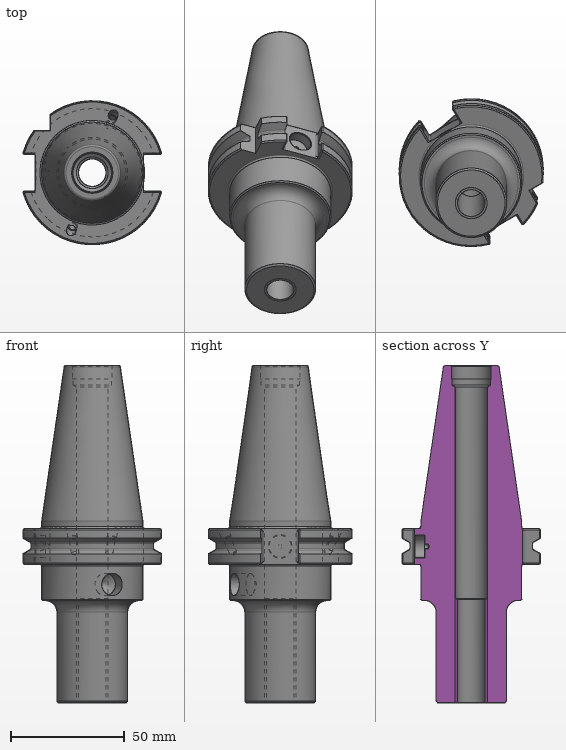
import cadquery as cq
import math

total_height = 148.2
gauge_z = 79.9
flange_top_z = 76.6
flange_bottom_z = 60.8
flange_height = flange_top_z - flange_bottom_z
flange_mid_z = flange_bottom_z + flange_height / 2
collar_bottom_z = 44.9

gauge_radius = 22.2
taper_half_slope = 7 / 48
taper_end_radius = gauge_radius - (total_height - gauge_z) * taper_half_slope
taper_end_round = 0.9
collar_radius = gauge_radius
collar_chamfer = 0.6
flange_root_fillet = 0.7
nose_radius = 15.5
nose_fillet = 5.0
nose_chamfer = 0.7

flange_radius = 63.3 / 2
flange_chamfer = 0.6
groove_z = 69.0
groove_floor_radius = 28.2
groove_floor_half_width = 1.5
groove_flank_angle = 30.0
groove_floor_fillet = 0.7

slot_width = 16.2
slot_corner_fillet = 0.7
slot_floor_minus_x = 25.0
slot_floor_plus_x = 22.5
notch_x = 18.5
notch_y = 18.5

chip_hole_radius = 4.9
chip_hole_chamfer = 0.3
chip_hole_depth = 4.6
chip_pilot_radius = 0.9
chip_pilot_depth = 1.5

drill_point_angle = 118.0
drill_point_slope = math.tan(math.radians(drill_point_angle / 2))
screw_hole_radius = 4.9
screw_hole_z = 52.0
screw_hole_azimuth = -66.5
screw_hole_depth = 8.0
coolant_hole_mouth_radius = 2.1
coolant_hole_mouth_depth = 4.5
coolant_hole_radius = 1.6
coolant_hole_depth = 11.9
coolant_hole_pitch_radius = 27.0
coolant_hole_azimuths = (70.0, 250.0)
coolant_hole_tilt = 25.0

bore_mouth_radius = 9.0
counterbore_radius = 8.6
counterbore_depth = 6.0
thread_radius = 8.5
thread_depth = 8.6
through_radius = 7.0

sleeve_length = 46.0
sleeve_bore_radius = 12.0 / 2


def turned_outside():
    """Taper, collar and nose as one turned shape, without the flange rim."""
    fillet_outer = collar_radius + flange_root_fillet
    mid_fillet = 1 - math.sqrt(0.5)
    nose_fillet_mid = nose_fillet * mid_fillet
    root_fillet_mid = flange_root_fillet * mid_fillet
    profile = (
        cq.Workplane("XZ")
        .lineTo(nose_radius - nose_chamfer, 0)
        .lineTo(nose_radius, nose_chamfer)
        .lineTo(nose_radius, collar_bottom_z - nose_fillet)
        .threePointArc(
            (nose_radius + nose_fillet_mid, collar_bottom_z - nose_fillet_mid),
            (nose_radius + nose_fillet, collar_bottom_z),
        )
        .lineTo(collar_radius - collar_chamfer, collar_bottom_z)
        .lineTo(collar_radius, collar_bottom_z + collar_chamfer)
        .lineTo(collar_radius, flange_bottom_z - flange_root_fillet)
        .threePointArc(
            (collar_radius + root_fillet_mid, flange_bottom_z - root_fillet_mid),
            (fillet_outer, flange_bottom_z),
        )
        .lineTo(fillet_outer, flange_top_z)
        .threePointArc(
            (collar_radius + root_fillet_mid, flange_top_z + root_fillet_mid),
            (collar_radius, flange_top_z + flange_root_fillet),
        )
        .lineTo(gauge_radius, gauge_z)
        .lineTo(taper_end_radius, total_height)
        .lineTo(0, total_height)
        .close()
    )
    return profile.revolve(360, (0, 0), (0, 1)).faces(">Z").edges().fillet(taper_end_round)


def drive_slot(side, floor_x):
    """Cutter for one drive slot; side is +1 for the +X slot and -1 for the -X slot."""
    length = 2 * flange_radius
    centre = (side * (floor_x + length / 2), 0, flange_mid_z)
    return cq.Workplane("XY", origin=centre).box(length, slot_width, flange_height)


def orientation_notch():
    """Cutter for the square notch at the -X, +Y corner of the flange."""
    return (
        cq.Workplane("XY", origin=(-notch_x, notch_y, flange_bottom_z))
        .rect(-flange_radius, flange_radius, centered=False)
        .extrude(flange_height)
    )


def gripper_groove():
    """Ring cutter for the V-shaped groove round the flange, with rounded floor corners."""
    groove_depth = flange_radius - groove_floor_radius
    mouth_half_width = groove_floor_half_width + groove_depth * math.tan(math.radians(groove_flank_angle))
    ring = (
        cq.Workplane("XZ")
        .moveTo(groove_floor_radius, groove_z - groove_floor_half_width)
        .lineTo(flange_radius, groove_z - mouth_half_width)
        .lineTo(flange_radius, groove_z + mouth_half_width)
        .lineTo(groove_floor_radius, groove_z + groove_floor_half_width)
        .close()
        .revolve(360, (0, 0), (0, 1))
    )
    floor_corners = cq.selectors.RadiusNthSelector(0)
    return ring.edges(floor_corners).fillet(groove_floor_fillet)


def is_bevelled(edge):
    """True for the rim circles, the slot wall edges and the corners where the slots open."""
    middle = edge.positionAt(0.5)
    on_rim = math.hypot(middle.x, middle.y) > flange_radius - slot_corner_fillet
    on_slot_wall_end = abs(middle.z - flange_mid_z) > flange_height / 4 and abs(middle.y) > slot_width / 4
    return on_rim or on_slot_wall_end


def flange():
    """Flange rim with its drive slots, chamfers, groove and notch."""
    disc = (
        cq.Workplane("XY", origin=(0, 0, flange_bottom_z))
        .circle(flange_radius)
        .extrude(flange_height)
        .cut(drive_slot(-1, slot_floor_minus_x))
        .cut(drive_slot(1, slot_floor_plus_x))
    )
    disc = disc.newObject([edge for edge in disc.edges().vals() if is_bevelled(edge)]).chamfer(flange_chamfer)
    slot_floor_corners = cq.selectors.BoxSelector(
        (-slot_floor_minus_x - slot_corner_fillet, -slot_width, flange_bottom_z),
        (slot_floor_plus_x + slot_corner_fillet, slot_width, flange_top_z),
    )
    disc = disc.edges("|Z").edges(slot_floor_corners).fillet(slot_corner_fillet)
    return disc.cut(gripper_groove()).cut(orientation_notch())


def drilled_hole(point, direction, radius, depth, flat=False):
    """Cutter for a blind hole with a drill point or a flat end; depth is that of the full diameter."""
    run_in = 2 * radius
    top = point - direction * run_in
    hole = cq.Solid.makeCylinder(radius, run_in + depth, top, direction)
    if not flat:
        point_length = radius / drill_point_slope
        drill_point = cq.Solid.makeCone(radius, 0, point_length, point + direction * depth, direction)
        hole = hole.fuse(drill_point)
    return cq.Workplane(hole)


def screw_hole():
    """Cutter for the radial blind hole in the collar."""
    azimuth = math.radians(screw_hole_azimuth)
    outward = cq.Vector(math.cos(azimuth), math.sin(azimuth), 0)
    start = outward * collar_radius + cq.Vector(0, 0, screw_hole_z)
    return drilled_hole(start, -outward, screw_hole_radius, screw_hole_depth)


def coolant_hole(azimuth_degrees):
    """Cutter for a blind hole in the flange face that leans towards the axis."""
    azimuth = math.radians(azimuth_degrees)
    tilt = math.radians(coolant_hole_tilt)
    outward = cq.Vector(math.cos(azimuth), math.sin(azimuth), 0)
    start = outward * coolant_hole_pitch_radius + cq.Vector(0, 0, flange_top_z)
    direction = outward * -math.sin(tilt) + cq.Vector(0, 0, -math.cos(tilt))
    mouth = drilled_hole(start, direction, coolant_hole_mouth_radius, coolant_hole_mouth_depth, flat=True)
    return mouth.union(drilled_hole(start, direction, coolant_hole_radius, coolant_hole_depth))


def chip_hole():
    """Cutter for the flat-bottomed chip hole with a chamfered mouth and a small pilot hole."""
    inward = cq.Vector(1, 0, 0)
    mouth_centre = cq.Vector(-slot_floor_minus_x, 0, flange_mid_z)
    floor_centre = mouth_centre + inward * chip_hole_depth
    rim_radius = chip_hole_radius + chip_hole_chamfer
    mouth = cq.Solid.makeCone(rim_radius, chip_hole_radius, chip_hole_chamfer, mouth_centre, inward)
    hole = drilled_hole(mouth_centre, inward, chip_hole_radius, chip_hole_depth, flat=True)
    pilot = drilled_hole(floor_centre, inward, chip_pilot_radius, chip_pilot_depth)
    return hole.union(pilot).union(cq.Workplane(mouth))


def stepped_bore():
    """Cutter for the bore from the taper end, through to the nose."""
    mouth_chamfer = bore_mouth_radius - counterbore_radius
    thread_end_z = total_height - thread_depth
    cone_end_z = thread_end_z - (thread_radius - through_radius) / drill_point_slope
    return (
        cq.Workplane("XZ")
        .lineTo(through_radius, 0)
        .lineTo(through_radius, cone_end_z)
        .lineTo(thread_radius, thread_end_z)
        .lineTo(thread_radius, total_height - counterbore_depth)
        .lineTo(counterbore_radius, total_height - counterbore_depth)
        .lineTo(counterbore_radius, total_height - mouth_chamfer)
        .lineTo(bore_mouth_radius, total_height)
        .lineTo(0, total_height)
        .close()
        .revolve(360, (0, 0), (0, 1))
    )


def make_holder():
    """Tool holder body with all its holes."""
    body = turned_outside().cut(drive_slot(1, slot_floor_plus_x)).union(flange())
    body = body.cut(stepped_bore()).cut(chip_hole()).cut(screw_hole())
    for azimuth in coolant_hole_azimuths:
        body = body.cut(coolant_hole(azimuth))
    return body


def make_sleeve():
    """Clamping sleeve with a conical mouth at its upper end."""
    mouth_depth = (through_radius - sleeve_bore_radius) / drill_point_slope
    return (
        cq.Workplane("XZ")
        .moveTo(sleeve_bore_radius, 0)
        .lineTo(through_radius, 0)
        .lineTo(through_radius, sleeve_length)
        .lineTo(sleeve_bore_radius, sleeve_length - mouth_depth)
        .close()
        .revolve(360, (0, 0), (0, 1))
    )


holder = make_holder().solids()
sleeve = make_sleeve()
result = cq.Compound.makeCompound([holder.val(), sleeve.val()])